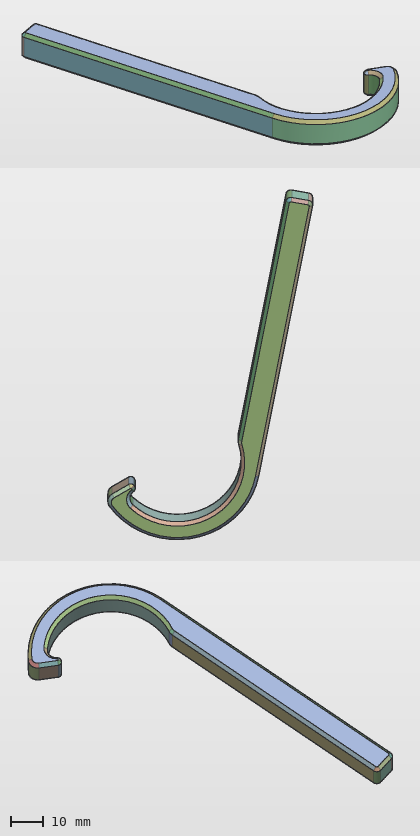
import cadquery as cq
import math

thickness = 9.0
edge_chamfer = 1.1

outer_radius = 25.4
inner_radius = 19.5

handle_angle = 15.0
handle_width = 8.3
handle_reach = 90.7
handle_end_radius = 1.5
handle_neck_radius = 3.6

tooth_angle = 33.0
tooth_width = 2.7
tooth_tip_distance = 15.4
tooth_tip_radius = 1.2
tooth_root_radius = 2.9
tooth_back_radius = 2.9


def turned(along, across, angle):
    """Point given along and to the left of a direction through the ring centre."""
    a = math.radians(angle)
    return (
        along * math.cos(a) - across * math.sin(a),
        along * math.sin(a) + across * math.cos(a),
    )


def on_circle(radius, across, angle):
    """Point where a line offset from a ring direction meets a circle."""
    return turned(math.sqrt(radius**2 - across**2), across, angle)


handle_direction = 180 - handle_angle
handle_inside = outer_radius - handle_width
outer_tangent = turned(0, outer_radius, handle_direction)
handle_outer_end = turned(handle_reach, outer_radius, handle_direction)
handle_inner_end = turned(handle_reach, handle_inside, handle_direction)
handle_neck = on_circle(inner_radius, handle_inside, handle_direction)

half_tooth = tooth_width / 2
tooth_root = on_circle(inner_radius, -half_tooth, tooth_angle)
tooth_under_tip = turned(tooth_tip_distance, -half_tooth, tooth_angle)
tooth_upper_tip = turned(tooth_tip_distance, half_tooth, tooth_angle)
tooth_back = on_circle(outer_radius, half_tooth, tooth_angle)

arc_middle_angle = -45.0
inner_middle = turned(inner_radius, 0, arc_middle_angle)
outer_middle = turned(outer_radius, 0, arc_middle_angle)

body = (
    cq.Workplane("XY")
    .moveTo(*handle_outer_end)
    .lineTo(*handle_inner_end)
    .lineTo(*handle_neck)
    .threePointArc(inner_middle, tooth_root)
    .lineTo(*tooth_under_tip)
    .lineTo(*tooth_upper_tip)
    .lineTo(*tooth_back)
    .threePointArc(outer_middle, outer_tangent)
    .close()
    .extrude(thickness)
)


def round_corners(solid, corners, radius):
    """Round the upright edges standing on the given corners."""
    for x, y in corners:
        upright = cq.selectors.NearestToPointSelector((x, y, thickness / 2))
        solid = solid.edges("|Z").edges(upright).fillet(radius)
    return solid


body = round_corners(body, [handle_outer_end, handle_inner_end], handle_end_radius)
body = round_corners(body, [handle_neck], handle_neck_radius)
body = round_corners(body, [tooth_root], tooth_root_radius)
body = round_corners(body, [tooth_back], tooth_back_radius)
body = round_corners(body, [tooth_under_tip, tooth_upper_tip], tooth_tip_radius)

result = body.faces("<Z or >Z").edges().chamfer(edge_chamfer)